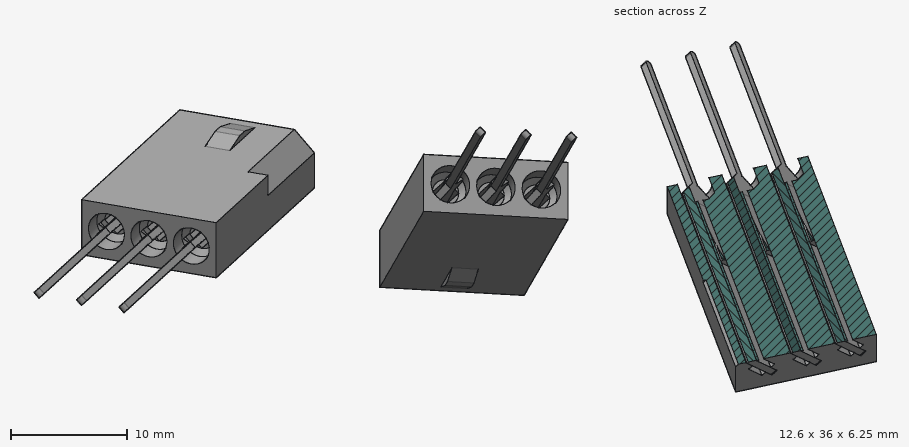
import cadquery as cq
import math


overall_length = 35.98

housing_width = 12.55
housing_length = 21.2
housing_height = 5.15
corner_bevel = 1.87
bevel_length = 10.0

bump_width = 2.3
bump_height = 0.55
bump_ramp = 2.15
bump_flat = 1.08
bump_setback = 1.0

contact_count = 3
contact_pitch = 3.95
contact_turn = -45.0
entry_diameter = 3.35
throat_diameter = 2.3
entry_depth = 1.8
cone_depth = 0.55
slot_width = 3.25
bore_width = 1.65
bore_height = 1.6
ledge_width = 2.65
ledge_height = 0.85

entry_radius = entry_diameter / 2
throat_radius = throat_diameter / 2
floor_depth = entry_depth + cone_depth

blade_width = 3.02
blade_thickness = 0.65
leg_protrusion = overall_length - housing_length
shoulder_start = -0.18
lance_width = 1.5
lance_radius = 53.97

blade_back = housing_length
lance_start = floor_depth
leg_half = blade_thickness / 2
blade_half = blade_width / 2
shoulder_end = shoulder_start + blade_half - leg_half
lance_rise = bore_height / 2 - leg_half
lance_angle = math.acos(1 - lance_rise / lance_radius)


def centred_box(width, length, height, start):
    """A box centred on the Y axis that begins at Y = start."""
    box = cq.Workplane("XY").box(width, length, height, centered=(True, False, True))
    return box.translate((0, start, 0))


def latch_bump():
    """Trapezoidal bump standing on the top face."""
    back = housing_length - bump_setback
    base = housing_height / 2
    crest = base + bump_height
    return (
        cq.Workplane("YZ")
        .moveTo(back, base)
        .lineTo(back - bump_ramp, crest)
        .lineTo(back - bump_ramp - bump_flat, crest)
        .lineTo(back - 2 * bump_ramp - bump_flat, base)
        .close()
        .extrude(bump_width / 2, both=True)
    )


def corner_wedge():
    """Triangular prism that bevels the rear part of the upper right edge."""
    side = housing_width / 2
    top = housing_height / 2
    return (
        cq.Workplane("XZ", origin=(0, housing_length, 0))
        .moveTo(side, top)
        .lineTo(side - corner_bevel, top)
        .lineTo(side, top - corner_bevel)
        .close()
        .extrude(bevel_length)
    )


def place(shape, x):
    """Turn a shape about the Y axis and move it to its cavity."""
    return shape.rotate((0, 0, 0), (0, 1, 0), contact_turn).translate((x, 0, 0))


def cavity():
    """Coned round entry, through slot, rectangular through bore and a ledge on one side of the slot."""
    entry = (
        cq.Workplane("XY")
        .lineTo(entry_radius, 0)
        .lineTo(entry_radius, entry_depth)
        .lineTo(throat_radius, floor_depth)
        .lineTo(0, floor_depth)
        .close()
        .revolve(360, (0, 0, 0), (0, 1, 0))
    )
    slot = centred_box(slot_width, housing_length, blade_thickness, 0)
    bore = centred_box(bore_width, housing_length, bore_height, 0)
    ledge = centred_box(ledge_width, floor_depth, ledge_height, 0).translate((0, 0, ledge_height / 2))
    return entry.union(slot).union(bore).union(ledge)


def make_housing(positions):
    """Block with two latch bumps, one bevelled edge and a cavity at each position."""
    bump = latch_bump()
    housing = centred_box(housing_width, housing_length, housing_height, 0)
    housing = housing.union(bump).union(bump.mirror("XY")).cut(corner_wedge())
    for x in positions:
        housing = housing.cut(place(cavity(), x))
    return housing


def make_contact(x):
    """Round-tipped leg, sloping shoulders and blade, with a lance curving up from the blade."""
    tip = -leg_protrusion
    plate = (
        cq.Workplane("XY")
        .moveTo(-leg_half, tip + leg_half)
        .threePointArc((0, tip), (leg_half, tip + leg_half))
        .lineTo(leg_half, shoulder_start)
        .lineTo(blade_half, shoulder_end)
        .lineTo(blade_half, blade_back)
        .lineTo(-blade_half, blade_back)
        .lineTo(-blade_half, shoulder_end)
        .lineTo(-leg_half, shoulder_start)
        .close()
        .extrude(leg_half, both=True)
    )
    half_angle = lance_angle / 2
    lance_end = lance_start + lance_radius * math.sin(lance_angle)
    lance = (
        cq.Workplane("YZ")
        .moveTo(lance_start, leg_half)
        .threePointArc(
            (
                lance_start + lance_radius * math.sin(half_angle),
                leg_half + lance_radius * (1 - math.cos(half_angle)),
            ),
            (lance_end, bore_height / 2),
        )
        .lineTo(lance_end, leg_half)
        .close()
        .extrude(lance_width / 2, both=True)
    )
    return place(plate.union(lance), x)


positions = [(i - (contact_count - 1) / 2) * contact_pitch for i in range(contact_count)]
housing = make_housing(positions)
contacts = [make_contact(x) for x in positions]

result = cq.Compound.makeCompound([housing.val(), *[contact.val() for contact in contacts]])